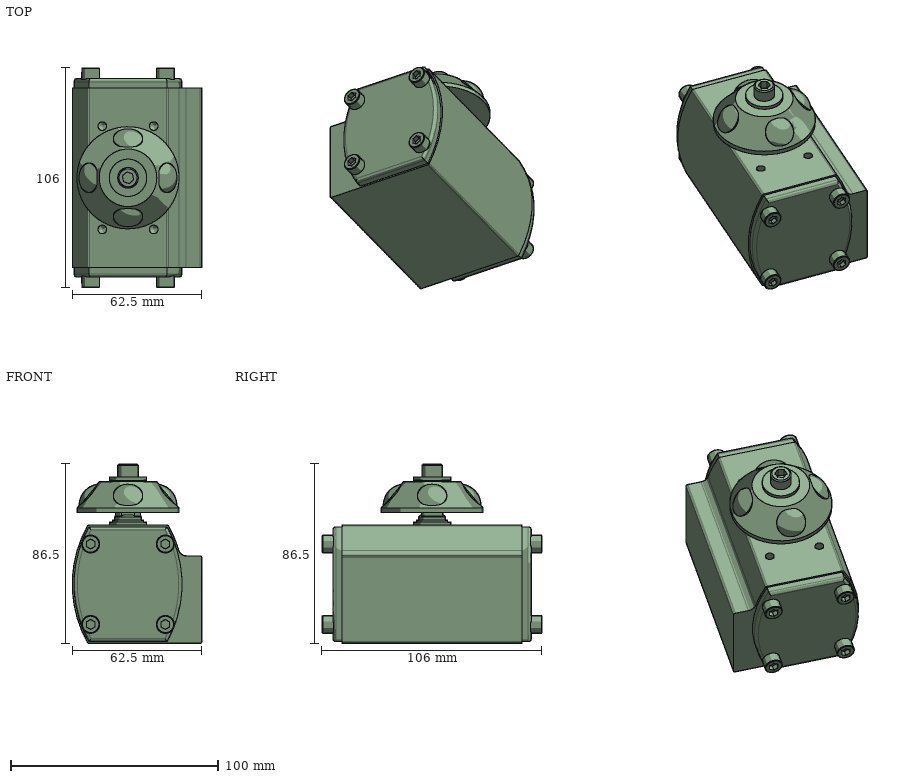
import cadquery as cq
import math


housing_length = 86.7
housing_height = 57.1
housing_half_width = 26.9
housing_top_half_width = 19.3
housing_corner_radius = 1.1
middle_z = housing_height / 2

ledge_x = 35.6
ledge_height = 42.3
ledge_edge_radius = 1.0
ledge_root_radius = 3.7

cap_inset = 0.8
cap_thickness = 4.6
cap_edge_radius = 1.6

screw_tip_y = 53.0
screw_diameter = 8.6
screw_chamfer = 0.3
screw_seat_depth = 0.4
screw_socket_width = 4.1
screw_socket_depth = 2.7
screw_x = 18.0
screw_dz = 19.4

hole_diameter = 4.1
hole_depth = 5.3
hole_tip_angle = 118.0
hole_x = 12.4
hole_y = 24.9

spindle_steps = [(18.0, 1.4), (15.1, 2.3), (12.9, 3.9)]
spindle_taper_top_diameter = 11.2
spindle_taper_height = 1.0
neck_diameter = 12.1
neck_flats = 10.4

knob_bottom = housing_height + 5.9
knob_rim_height = 2.2
knob_height = 15.0
knob_diameter = 49.3
knob_top_diameter = 27.8
dome_ball_diameter = 21.1
dome_base_diameter = 14.2
dome_rise = 2.4
dome_root_depth = 1.6
dome_count = 4

tang_diameter = 15.1
tang_flats = 9.5
tang_height = 0.6
washer_diameter = 18.0
washer_thickness = 1.7
top_screw_diameter = 10.0
top_screw_chamfer = 0.6
top_screw_socket_width = 5.0
top_screw_socket_depth = 4.2
top_screw_socket_turn = 41.0
total_height = 86.5


def cylinder(diameter, bottom, top):
    return cq.Workplane("XY").workplane(offset=bottom).circle(diameter / 2).extrude(top - bottom)


def flatted_cylinder(diameter, flats, bottom, top):
    """Round bar along Z with two flats facing -Y and +Y."""
    height = top - bottom
    slab = cq.Workplane("XY").workplane(offset=bottom).rect(2 * diameter, flats).extrude(height)
    return cylinder(diameter, bottom, top).intersect(slab)


def hexagon_circle(width_across_flats):
    return width_across_flats / math.cos(math.radians(30))


def barrel_profile(plane):
    """Closed outline with flat top and bottom and arc-shaped sides."""
    return (
        plane.moveTo(-housing_top_half_width, 0)
        .lineTo(housing_top_half_width, 0)
        .threePointArc((housing_half_width, middle_z), (housing_top_half_width, housing_height))
        .lineTo(-housing_top_half_width, housing_height)
        .threePointArc((-housing_half_width, middle_z), (-housing_top_half_width, 0))
        .close()
    )


def make_housing():
    start = cq.Workplane("XZ", origin=(0, housing_length / 2, 0))
    barrel = barrel_profile(start).extrude(housing_length)
    barrel = barrel.edges("|Y").fillet(housing_corner_radius)
    ledge = (
        cq.Workplane("XY")
        .box(ledge_x, housing_length, ledge_height, centered=(False, True, False))
        .edges("|Y and >X")
        .fillet(ledge_edge_radius)
    )
    housing = barrel.union(ledge)

    root_margin = 1.1
    root_box = cq.selectors.BoxSelector(
        (housing_top_half_width + root_margin, -housing_length, ledge_height - root_margin),
        (housing_half_width, housing_length, ledge_height + root_margin),
    )
    return housing.edges(root_box).edges("|Y").fillet(ledge_root_radius)


def make_end_cap():
    """End cap on the -Y end of the housing."""
    start = cq.Workplane("XZ", origin=(0, -housing_length / 2, 0))
    cap = barrel_profile(start).offset2D(-cap_inset, "intersection").extrude(cap_thickness)
    return cap.faces("<Y").edges().fillet(cap_edge_radius)


def make_cap_screw():
    """Socket screw head along Y, standing out of the -Y end cap, with its hexagon on a corner."""
    seat_y = housing_length / 2 + cap_thickness - screw_seat_depth
    head = (
        cq.Workplane("XZ", origin=(0, -seat_y, 0))
        .circle(screw_diameter / 2)
        .extrude(screw_tip_y - seat_y)
        .faces("<Y")
        .edges()
        .chamfer(screw_chamfer)
    )
    socket = (
        cq.Workplane("XZ", origin=(0, -screw_tip_y, 0))
        .transformed(rotate=(0, 0, 90))
        .polygon(6, hexagon_circle(screw_socket_width))
        .extrude(-screw_socket_depth)
    )
    return head.cut(socket)


def make_mounting_holes():
    radius = hole_diameter / 2
    tip_depth = radius / math.tan(math.radians(hole_tip_angle / 2))
    drill = (
        cq.Workplane("XZ")
        .polyline([(0, 0), (radius, 0), (radius, -hole_depth), (0, -hole_depth - tip_depth)])
        .close()
        .revolve(360, (0, 0, 0), (0, 1, 0))
    )
    holes = cq.Workplane("XY")
    for x in (-hole_x, hole_x):
        for y in (-hole_y, hole_y):
            holes = holes.add(drill.translate((x, y, housing_height)))
    return holes.combine()


def make_spindle():
    spindle = cq.Workplane("XY")
    for diameter, step_top in spindle_steps:
        spindle = spindle.union(cylinder(diameter, housing_height, housing_height + step_top))
    base_diameter, base_top = spindle_steps[-1]
    taper = (
        cq.Workplane("XY", origin=(0, 0, housing_height + base_top))
        .circle(base_diameter / 2)
        .workplane(offset=spindle_taper_height)
        .circle(spindle_taper_top_diameter / 2)
        .loft()
    )
    neck = flatted_cylinder(neck_diameter, neck_flats, housing_height, knob_bottom)
    return spindle.union(taper).union(neck)


def make_dome():
    """Round stub with a spherical top along Z; Z = 0 is where the knob flank meets it."""
    ball = cq.Workplane("XY").sphere(dome_ball_diameter / 2)
    ball = ball.translate((0, 0, dome_rise - dome_ball_diameter / 2))
    return ball.intersect(cylinder(dome_base_diameter, -dome_root_depth, dome_rise))


def make_knob():
    rim = knob_diameter / 2
    top = knob_top_diameter / 2
    knob = (
        cq.Workplane("XZ", origin=(0, 0, knob_bottom))
        .polyline([(0, 0), (rim, 0), (rim, knob_rim_height), (top, knob_height), (0, knob_height)])
        .close()
        .revolve(360, (0, 0, 0), (0, 1, 0))
    )

    run = rim - top
    rise = knob_height - knob_rim_height
    flank_angle = math.degrees(math.atan2(rise, run))
    dome = make_dome().rotate((0, 0, 0), (0, 1, 0), flank_angle)
    dome = dome.translate(((rim + top) / 2, 0, knob_bottom + (knob_height + knob_rim_height) / 2))
    for i in range(dome_count):
        knob = knob.union(dome.rotate((0, 0, 0), (0, 0, 1), 360 * i / dome_count))
    return knob


def make_spindle_top():
    knob_top = knob_bottom + knob_height
    washer_bottom = knob_top + tang_height
    washer_top = washer_bottom + washer_thickness
    tang = flatted_cylinder(tang_diameter, tang_flats, knob_top, washer_bottom)
    washer = cylinder(washer_diameter, washer_bottom, washer_top)
    screw = cylinder(top_screw_diameter, washer_top, total_height)
    screw = screw.faces(">Z").edges().chamfer(top_screw_chamfer)
    socket = (
        cq.Workplane("XY", origin=(0, 0, total_height))
        .polygon(6, hexagon_circle(top_screw_socket_width))
        .extrude(-top_screw_socket_depth)
        .rotate((0, 0, 0), (0, 0, 1), top_screw_socket_turn)
    )
    return tang.union(washer).union(screw).cut(socket)


def make_cap_end():
    """Complete -Y end: cap with its four screws."""
    cap_end = make_end_cap()
    screw = make_cap_screw()
    for x in (-screw_x, screw_x):
        for dz in (-screw_dz, screw_dz):
            cap_end = cap_end.union(screw.translate((x, 0, middle_z + dz)))
    return cap_end


front_end = make_cap_end()
back_end = front_end.mirror("XZ")
housing = make_housing().cut(make_mounting_holes())

result = housing.union(front_end).union(back_end)
result = result.union(make_spindle()).union(make_knob()).union(make_spindle_top())